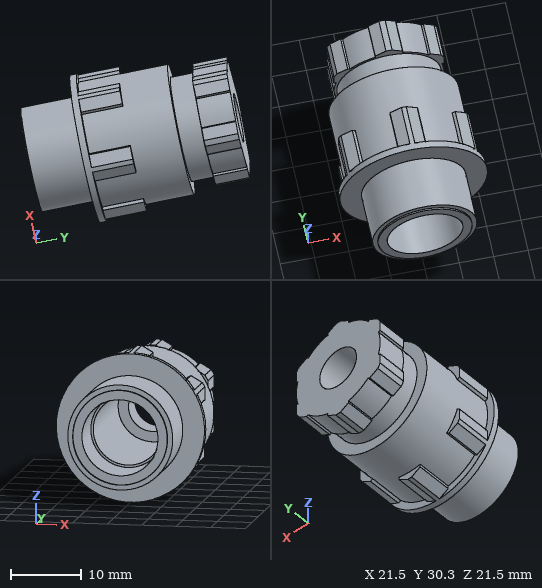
import cadquery as cq
import math


TIP_LENGTH = 0.25
FRONT_TUBE_LENGTH = 7.75
FLANGE_THICKNESS = 1.0
COLLAR_RIB_LENGTH = 6.0
COLLAR_PLAIN_LENGTH = 7.0
NECK_LENGTH = 3.34
NUT_LENGTH = 5.0

TUBE_START = TIP_LENGTH
FLANGE_START = TUBE_START + FRONT_TUBE_LENGTH
COLLAR_START = FLANGE_START + FLANGE_THICKNESS
COLLAR_END = COLLAR_START + COLLAR_RIB_LENGTH + COLLAR_PLAIN_LENGTH
NUT_START = COLLAR_END + NECK_LENGTH

FLANGE_RADIUS = 10.75
COLLAR_RADIUS = 9.5
NUT_RIB_RADIUS = 9.0
NUT_RADIUS = 8.0
TUBE_RADIUS = 7.6
LINER_RADIUS = 6.85
LINER_MOUTH_RADIUS = 5.5
LINER_THROAT_RADIUS = 5.35
TUBE_BORE_RADIUS = 5.0
NUT_BORE_RADIUS = 3.5

LINER_LENGTH = 6.06

RIB_COUNT = 6
RIB_HALF_WIDTH = 2.0
RIB_SHOULDER_SLOPE = math.radians(30)
COLLAR_CROWN_HALF_WIDTH = 0.35
NUT_CROWN_HALF_WIDTH = 0.45


def cross_section_at(y):
    """Work plane across the axis with local x = X, local y = Z; extrude by a negative length for +Y."""
    return cq.Workplane("XZ", origin=(0, y, 0))


def cylinder(radius, start, length):
    """Cylinder along +Y with its seam line turned to the +Z side."""
    return cross_section_at(start).circle(radius).extrude(-length).rotate((0, 0, 0), (0, 1, 0), -90)


def grip_ribs(crown_radius, crown_half_width, root_radius, start, length):
    """Ring of evenly spaced ribs, each reaching from inside the root circle out to the crown circle."""
    crown_edge = math.sqrt(crown_radius**2 - crown_half_width**2)
    shoulder_drop = (RIB_HALF_WIDTH - crown_half_width) * math.tan(RIB_SHOULDER_SLOPE)
    shoulder = crown_edge - shoulder_drop
    root = math.sqrt(root_radius**2 - RIB_HALF_WIDTH**2)
    rib = (
        cross_section_at(start)
        .moveTo(-RIB_HALF_WIDTH, root)
        .lineTo(-RIB_HALF_WIDTH, shoulder)
        .lineTo(-crown_half_width, crown_edge)
        .threePointArc((0, crown_radius), (crown_half_width, crown_edge))
        .lineTo(RIB_HALF_WIDTH, shoulder)
        .lineTo(RIB_HALF_WIDTH, root)
        .close()
        .extrude(-length)
    )
    angles = [index * 360 / RIB_COUNT for index in range(RIB_COUNT)]
    return [rib.rotate((0, 0, 0), (0, 1, 0), angle) for angle in angles]


def make_liner():
    """Sleeve in the tube mouth, standing slightly proud, with a bore that tapers inward."""
    return (
        cq.Workplane("YZ")
        .moveTo(0, LINER_MOUTH_RADIUS)
        .lineTo(0, LINER_RADIUS)
        .lineTo(LINER_LENGTH, LINER_RADIUS)
        .lineTo(LINER_LENGTH, LINER_THROAT_RADIUS)
        .close()
        .revolve(360, (0, 0, 0), (1, 0, 0))
    )


def make_tube():
    """Straight tube running through the collar, counterbored at the front to hold the liner."""
    tube_length = NUT_START - TUBE_START
    tube = cylinder(TUBE_RADIUS, TUBE_START, tube_length)
    tube = tube.cut(cylinder(TUBE_BORE_RADIUS, TUBE_START, tube_length))
    return tube.cut(cylinder(LINER_RADIUS, TUBE_START, LINER_LENGTH - TUBE_START))


def make_collar():
    """Flanged collar around the tube, with grip ribs standing behind the flange and flush with its rim."""
    collar_length = COLLAR_END - FLANGE_START
    mid_wall = (TUBE_RADIUS + COLLAR_RADIUS) / 2
    collar = cylinder(COLLAR_RADIUS, FLANGE_START, collar_length)
    collar = collar.union(cylinder(FLANGE_RADIUS, FLANGE_START, FLANGE_THICKNESS))
    for rib in grip_ribs(FLANGE_RADIUS, COLLAR_CROWN_HALF_WIDTH, mid_wall, COLLAR_START, COLLAR_RIB_LENGTH):
        collar = collar.union(rib, clean=False)
    return collar.cut(cylinder(TUBE_RADIUS, FLANGE_START, collar_length), clean=False)


def make_nut():
    """Ribbed grip nut butted against the back end of the tube."""
    nut = cylinder(NUT_RADIUS, NUT_START, NUT_LENGTH)
    for rib in grip_ribs(NUT_RIB_RADIUS, NUT_CROWN_HALF_WIDTH, TUBE_BORE_RADIUS, NUT_START, NUT_LENGTH):
        nut = nut.union(rib)
    return nut.cut(cylinder(NUT_BORE_RADIUS, NUT_START, NUT_LENGTH))


liner = make_liner()
tube = make_tube()
collar = make_collar()
nut = make_nut()

result = cq.Compound.makeCompound([liner.val(), tube.val(), collar.val(), nut.val()])